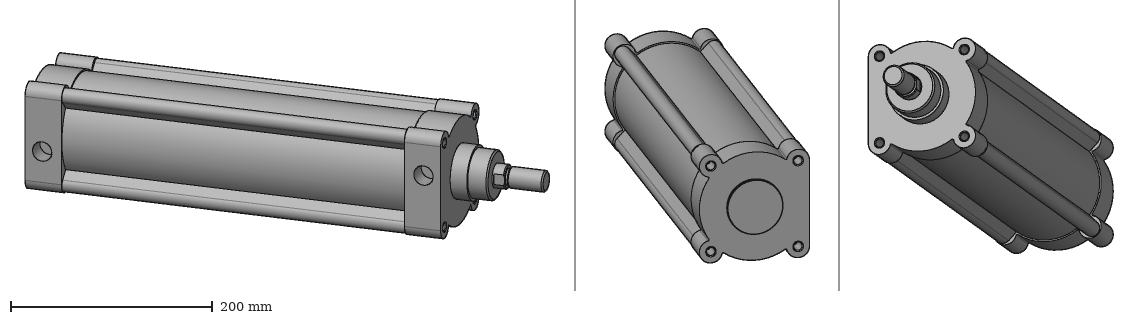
import cadquery as cq
import math


TOTAL_LENGTH = 533.0
BOSS_LENGTH = 3.5
CAP_LENGTH = 38.5
BARREL_LENGTH = 361.5
NECK_LENGTH = 17.5
COLLAR_LENGTH = 21.0
BARREL_START = BOSS_LENGTH + CAP_LENGTH
BARREL_END = BARREL_START + BARREL_LENGTH
CAP_FRONT = BARREL_END + CAP_LENGTH
NECK_END = CAP_FRONT + NECK_LENGTH
COLLAR_END = NECK_END + COLLAR_LENGTH

CAP_WIDTH = 112.0
CAP_RADIUS = CAP_WIDTH / 2
BOLT_OFFSET = 44.0
CAP_LUG_RADIUS = CAP_RADIUS - BOLT_OFFSET
NOTCH_FILLET = 1.0
BOLT_HOLE_RADIUS = 4.0
BOLT_HOLE_CHAMFER = 1.0
BOLT_HOLE_DEPTH = 21.5
PORT_RADIUS = 10.0
PORT_DEPTH = 21.5
PORT_HEIGHT = 11.5
PORT_INSET = 20.0
BOSS_RADIUS = 28.0
BOSS_CHAMFER = 0.5
COLLAR_RADIUS = 25.5
COLLAR_CHAMFER = 1.5

BARREL_RADIUS = 54.5
RIB_RADIUS = 8.0
RIB_OFFSET = BARREL_RADIUS - RIB_RADIUS

ROD_DIAMETER = 25.0
ROD_RADIUS = ROD_DIAMETER / 2
FLAT_HALF_WIDTH = 11.0
FLAT_SETBACK = 1.5
FLAT_START = COLLAR_END + FLAT_SETBACK
ROD_SHOULDER = 493.0
SHOULDER_CHAMFER = 1.0
UNDERCUT_RADIUS = 9.0
UNDERCUT_LENGTH = 2.0
THREAD_DIAMETER = 22.0
THREAD_RADIUS = THREAD_DIAMETER / 2
THREAD_CHAMFER = 1.5

CORNERS = [(y, z) for y in (-1, 1) for z in (-1, 1)]


def disc(x_start, radius, length):
    """Cylinder along X, starting at x_start."""
    return cq.Workplane("YZ", origin=(x_start, 0, 0)).circle(radius).extrude(length)


def corner_points(offset):
    return [(y * offset, z * offset) for y, z in CORNERS]


def fillet_notches(cap, x_middle):
    """Round the inner corners where each lug meets the round cap body."""
    lug_distance = math.hypot(BOLT_OFFSET, BOLT_OFFSET)
    along = (CAP_RADIUS**2 - CAP_LUG_RADIUS**2 + lug_distance**2) / (2 * lug_distance)
    aside = math.sqrt(CAP_RADIUS**2 - along**2)
    near = (along - aside) / math.sqrt(2)
    far = (along + aside) / math.sqrt(2)
    notches = [(y * near, z * far) for y, z in CORNERS]
    notches += [(far, z * near) for z in (-1, 1)]
    for y, z in notches:
        edge = cq.selectors.NearestToPointSelector((x_middle, y, z))
        cap = cap.edges("|X").edges(edge).fillet(NOTCH_FILLET)
    return cap


def cap_body(x_start):
    """Round cap with four bolt lugs and a flat face on the -Y side."""
    plane = cq.Workplane("YZ", origin=(x_start, 0, 0))
    lugs = plane.pushPoints(corner_points(BOLT_OFFSET)).circle(CAP_LUG_RADIUS).extrude(CAP_LENGTH)
    flat_side = plane.center(-CAP_RADIUS / 2, 0).rect(CAP_RADIUS, 2 * BOLT_OFFSET).extrude(CAP_LENGTH)
    cap = disc(x_start, CAP_RADIUS, CAP_LENGTH).union(lugs).union(flat_side)
    return fillet_notches(cap, x_start + CAP_LENGTH / 2)


def bolt_holes(x_face, inward):
    """Four blind chamfered holes sunk from the cap face at x_face; inward is +1 or -1 along X."""
    mouth_radius = BOLT_HOLE_RADIUS + BOLT_HOLE_CHAMFER
    profile = [
        (0, 0),
        (0, mouth_radius),
        (inward * BOLT_HOLE_CHAMFER, BOLT_HOLE_RADIUS),
        (inward * BOLT_HOLE_DEPTH, BOLT_HOLE_RADIUS),
        (inward * BOLT_HOLE_DEPTH, 0),
    ]
    hole = cq.Workplane("XY").polyline(profile).close().revolve(360, (0, 0, 0), (1, 0, 0))
    holes = cq.Workplane("XY")
    for y, z in corner_points(BOLT_OFFSET):
        holes = holes.add(hole.translate((x_face, y, z)))
    return holes.combine()


def port(x, z):
    """Blind air port sunk from the flat -Y face."""
    plane = cq.Workplane("XZ", origin=(x, -CAP_RADIUS, z))
    return plane.circle(PORT_RADIUS).extrude(-PORT_DEPTH)


def make_rear_cap():
    cap = cap_body(BOSS_LENGTH)
    boss = disc(0, BOSS_RADIUS, BOSS_LENGTH).faces("<X").chamfer(BOSS_CHAMFER)
    cap = cap.union(boss)
    cap = cap.cut(bolt_holes(BOSS_LENGTH, 1))
    return cap.cut(port(BARREL_START - PORT_INSET, -PORT_HEIGHT))


def make_front_cap():
    cap = cap_body(BARREL_END)
    cap = cap.union(disc(CAP_FRONT, BOSS_RADIUS, NECK_LENGTH))
    collar = disc(NECK_END, COLLAR_RADIUS, COLLAR_LENGTH).faces(">X").chamfer(COLLAR_CHAMFER)
    cap = cap.union(collar)
    cap = cap.cut(bolt_holes(CAP_FRONT, -1))
    cap = cap.cut(port(BARREL_END + PORT_INSET, PORT_HEIGHT))
    rod_bore = disc(BARREL_END, ROD_RADIUS, COLLAR_END - BARREL_END)
    return cap.cut(rod_bore)


def make_barrel():
    """Round barrel with round-tipped ribs along both diagonals."""
    barrel = disc(BARREL_START, BARREL_RADIUS, BARREL_LENGTH)
    tip_to_tip = 2 * math.hypot(RIB_OFFSET, RIB_OFFSET) + 2 * RIB_RADIUS
    plane = cq.Workplane("YZ", origin=(BARREL_START, 0, 0))
    for angle in (45, 135):
        rib_pair = plane.slot2D(tip_to_tip, 2 * RIB_RADIUS, angle).extrude(BARREL_LENGTH)
        barrel = barrel.union(rib_pair)
    return barrel


def make_rod():
    """Rod with two wrench flats, an undercut and a chamfered threaded end."""
    rod = disc(BARREL_END, ROD_RADIUS, ROD_SHOULDER - BARREL_END)
    rod = rod.faces(">X").chamfer(SHOULDER_CHAMFER)
    flat_length = ROD_SHOULDER - FLAT_START
    flat_depth = ROD_RADIUS - FLAT_HALF_WIDTH
    for side in (-1, 1):
        waste = cq.Workplane("XY").box(flat_length, flat_depth, 2 * ROD_RADIUS)
        waste_y = side * (FLAT_HALF_WIDTH + flat_depth / 2)
        rod = rod.cut(waste.translate((FLAT_START + flat_length / 2, waste_y, 0)))
    thread_start = ROD_SHOULDER + UNDERCUT_LENGTH
    rod = rod.union(disc(ROD_SHOULDER, UNDERCUT_RADIUS, UNDERCUT_LENGTH))
    thread = disc(thread_start, THREAD_RADIUS, TOTAL_LENGTH - thread_start)
    thread = thread.faces("<X or >X").chamfer(THREAD_CHAMFER)
    return rod.union(thread)


rear_cap = make_rear_cap()
barrel = make_barrel()
front_cap = make_front_cap()
rod = make_rod()

bodies = [rear_cap, barrel, front_cap, rod]
result = cq.Compound.makeCompound([body.solids().val() for body in bodies])